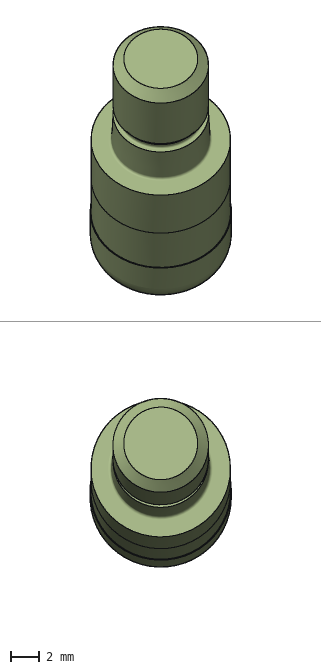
import cadquery as cq

total_height = 22.5
band_top = 4.5
joint_height = 8.53
shoulder_height = 13.0
shank_top = 16.02
groove_top = 16.4
head_bottom = 17.0

band_radius = 5.0
bottom_fillet = 2.0
barrel_radius = 4.93

shank_base_radius = 3.49
shank_top_radius = 3.38
shank_fillet = 0.2
groove_radius = 3.02
groove_fillet = 0.15
head_radius = 3.38
head_chamfer_height = 0.72
head_chamfer_width = 0.76


def make_pad():
    """Solid round pad with a rounded bottom edge and a flush barrel above it."""
    band = (
        cq.Workplane("XY")
        .circle(band_radius)
        .extrude(band_top)
        .faces("<Z")
        .edges()
        .fillet(bottom_fillet)
    )
    barrel = (
        cq.Workplane("XY")
        .workplane(offset=band_top)
        .circle(barrel_radius)
        .extrude(joint_height - band_top)
    )
    return band.union(barrel)


def make_stud():
    """Turned stud: barrel, tapered shank, relief groove and chamfered head."""
    foot_radius = shank_base_radius + shank_fillet
    foot_top = shoulder_height + shank_fillet
    groove_foot_radius = groove_radius + groove_fillet
    groove_foot_top = shank_top + groove_fillet
    profile = (
        cq.Workplane("XZ")
        .moveTo(0, joint_height)
        .lineTo(barrel_radius, joint_height)
        .lineTo(barrel_radius, shoulder_height)
        .lineTo(foot_radius, shoulder_height)
        .radiusArc((shank_base_radius, foot_top), shank_fillet)
        .lineTo(shank_top_radius, shank_top)
        .lineTo(groove_foot_radius, shank_top)
        .radiusArc((groove_radius, groove_foot_top), groove_fillet)
        .lineTo(groove_radius, groove_top)
        .lineTo(head_radius, head_bottom)
        .lineTo(head_radius, total_height - head_chamfer_height)
        .lineTo(head_radius - head_chamfer_width, total_height)
        .lineTo(0, total_height)
        .close()
    )
    return profile.revolve(360, (0, 0, 0), (0, 1, 0))


pad = make_pad()
stud = make_stud()

result = cq.Compound.makeCompound([pad.val(), stud.val()])